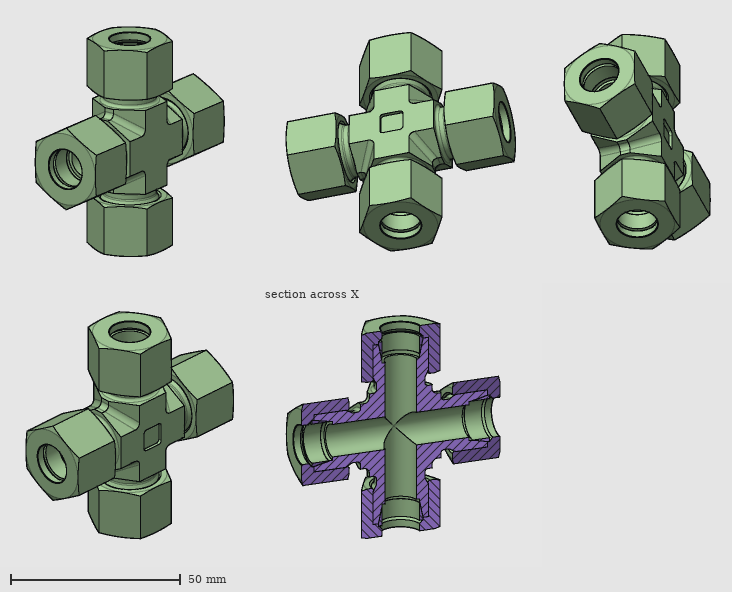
import cadquery as cq
import math


half_span = 32.0

arm_reach = 13.0
arm_half_thickness = 9.65
arm_flat_half_width = 5.4
arm_half_width = 10.2
arm_ridge_half_thickness = 1.55
flat_crotch_radius = 1.8
ridge_crotch_radius = 1.6
bore_dia = 10.0

neck_dia = 15.7
thread_dia = 18.0
thread_minor_dia = 16.4
neck_radius = 0.95
neck_end = 15.35
runout_angle = math.radians(30)

tube_dia = 12.0
tube_stop = 22.0
ring_dia = 14.3
ring_tip_dia = 12.2
ring_back = 28.7
shoulder_end = 29.6
seat_angle = math.radians(12)
spigot_end = 28.0
shoulder_start = shoulder_end - (ring_dia - tube_dia) / 2
ring_back_dia = tube_dia + 2 * (shoulder_end - ring_back)
ring_tip = spigot_end - (ring_dia - ring_tip_dia) / 2 / math.tan(seat_angle)

nut_flats = 22.0
nut_length = 15.5
nut_face_dia = 21.9
nut_chamfer_angle = math.radians(15)
mouth_chamfer = 0.2
countersink_dia = 18.5
nut_base = half_span - nut_length

plate_side = 7.05
plate_corner_radius = 1.0
plate_depth = 1.0


def revolve_about_z(outline):
    """Revolve a closed outline, drawn as (radius, height), about the Z axis."""
    return outline.close().revolve(360, (0, 0, 0), (0, 1, 0))


def on_every_arm(part):
    """Return four copies of a part built on the +Z arm, one for each arm."""
    return [part.rotate((0, 0, 0), (1, 0, 0), quarter * 90) for quarter in range(4)]


def quarter_turned(y, z, quarter):
    """Turn a (Y, Z) point about the X axis by a number of quarter turns."""
    turn = math.radians(90 * quarter)
    return (
        y * math.cos(turn) - z * math.sin(turn),
        y * math.sin(turn) + z * math.cos(turn),
    )


def cross_section(x, half_width, crotch_radius):
    """Cross outline with rounded crotches at the given X, as a wire."""
    arc_end = half_width + crotch_radius
    arc_mid = half_width + crotch_radius * (1 - math.sqrt(0.5))
    outline = cq.Workplane("YZ", origin=(x, 0, 0)).moveTo(arm_reach, -half_width)
    for quarter in range(4):
        outline = (
            outline.lineTo(*quarter_turned(arm_reach, half_width, quarter))
            .lineTo(*quarter_turned(arc_end, half_width, quarter))
            .threePointArc(
                quarter_turned(arc_mid, arc_mid, quarter),
                quarter_turned(half_width, arc_end, quarter),
            )
            .lineTo(*quarter_turned(half_width, arm_reach, quarter))
        )
    return outline.close().wire().val()


def make_forged_block():
    """Two mirrored halves tapering from a thin central slab to the flats on +X and -X."""
    ridge = cross_section(arm_ridge_half_thickness, arm_half_width, ridge_crotch_radius)
    flat = cross_section(arm_half_thickness, arm_flat_half_width, flat_crotch_radius)
    taper = cq.Workplane(cq.Solid.makeLoft([ridge, flat], True))
    slab_face = cq.Face.makeFromWires(ridge)
    slab = cq.Solid.extrudeLinear(slab_face, cq.Vector(-2 * arm_ridge_half_thickness, 0, 0))
    return taper.union(taper.mirror("YZ")).union(cq.Workplane(slab))


def make_spigot():
    """Neck, thread runout and thread of the +Z arm, solid down to the block."""
    neck_r = neck_dia / 2
    thread_r = thread_dia / 2
    arc_r = neck_r + neck_radius * (1 - math.cos(runout_angle))
    arc_z = neck_end + neck_radius * math.sin(runout_angle)
    arc_mid = (
        neck_r + neck_radius * (1 - math.cos(runout_angle / 2)),
        neck_end + neck_radius * math.sin(runout_angle / 2),
    )
    fillet_mid = (
        neck_r + neck_radius * (1 - math.sqrt(0.5)),
        arm_reach + neck_radius * (1 - math.sqrt(0.5)),
    )
    outline = (
        cq.Workplane("XZ")
        .moveTo(0, arm_reach)
        .lineTo(neck_r + neck_radius, arm_reach)
        .threePointArc(fillet_mid, (neck_r, arm_reach + neck_radius))
        .lineTo(neck_r, neck_end)
        .threePointArc(arc_mid, (arc_r, arc_z))
        .lineTo(thread_r, arc_z + (thread_r - arc_r) / math.tan(runout_angle))
        .lineTo(thread_r, spigot_end)
        .lineTo(0, spigot_end)
    )
    return revolve_about_z(outline)


def make_ring_blank():
    """Cutting ring without its hole; also the shape of its seat in the cross."""
    outline = (
        cq.Workplane("XZ")
        .moveTo(0, ring_tip)
        .lineTo(ring_tip_dia / 2, ring_tip)
        .lineTo(ring_dia / 2, spigot_end)
        .lineTo(ring_dia / 2, shoulder_start)
        .lineTo(ring_back_dia / 2, ring_back)
        .lineTo(0, ring_back)
    )
    return revolve_about_z(outline)


def make_tube_socket():
    return (
        cq.Workplane("XY", origin=(0, 0, tube_stop))
        .circle(tube_dia / 2)
        .extrude(half_span - tube_stop)
    )


def make_bore():
    return cq.Workplane("XY").circle(bore_dia / 2).extrude(half_span, both=True)


def make_plate_recess():
    return (
        cq.Workplane("YZ", origin=(-arm_half_thickness, 0, 0))
        .rect(plate_side, plate_side)
        .extrude(plate_depth)
        .edges("|X")
        .fillet(plate_corner_radius)
    )


def make_cross():
    cross = make_forged_block()
    for spigot in on_every_arm(make_spigot()):
        cross = cross.union(spigot)
    for seat in on_every_arm(make_ring_blank().union(make_tube_socket())):
        cross = cross.cut(seat)
    bore = make_bore()
    cross = cross.cut(bore).cut(bore.rotate((0, 0, 0), (1, 0, 0), 90))
    return cross.cut(make_plate_recess())


def make_ring():
    return make_ring_blank().cut(make_tube_socket())


def make_nut_blank():
    """Hexagon with two flats facing +X and -X and its corners chamfered at both ends."""
    corner_r = nut_flats / math.sqrt(3)
    face_r = nut_face_dia / 2
    drop = (corner_r - face_r) * math.tan(nut_chamfer_angle)
    hexagon = (
        cq.Workplane("XY", origin=(0, 0, nut_base))
        .polygon(6, 2 * corner_r)
        .extrude(nut_length)
        .rotate((0, 0, 0), (0, 0, 1), 30)
    )
    envelope = revolve_about_z(
        cq.Workplane("XZ")
        .moveTo(0, nut_base)
        .lineTo(face_r, nut_base)
        .lineTo(corner_r, nut_base + drop)
        .lineTo(corner_r, half_span - drop)
        .lineTo(face_r, half_span)
        .lineTo(0, half_span)
    )
    return hexagon.intersect(envelope)


def make_nut_opening():
    """Countersunk thread hole, ring shoulder and chamfered tube hole of a nut."""
    tube_r = tube_dia / 2
    minor_r = thread_minor_dia / 2
    countersink_r = countersink_dia / 2
    outline = (
        cq.Workplane("XZ")
        .moveTo(0, nut_base)
        .lineTo(countersink_r, nut_base)
        .lineTo(minor_r, nut_base + countersink_r - minor_r)
        .lineTo(minor_r, spigot_end)
        .lineTo(ring_dia / 2, spigot_end)
        .lineTo(ring_dia / 2, shoulder_start)
        .lineTo(tube_r, shoulder_end)
        .lineTo(tube_r, half_span - mouth_chamfer)
        .lineTo(tube_r + mouth_chamfer, half_span)
        .lineTo(0, half_span)
    )
    return revolve_about_z(outline)


def make_nut():
    """Nut whose thread hole is opened out to fit closely around the spigot."""
    return make_nut_blank().cut(make_nut_opening()).cut(make_spigot())


cross = make_cross()
nuts = on_every_arm(make_nut())
rings = on_every_arm(make_ring())

result = cq.Compound.makeCompound(
    [cross.val()] + [nut.val() for nut in nuts] + [ring.val() for ring in rings]
)